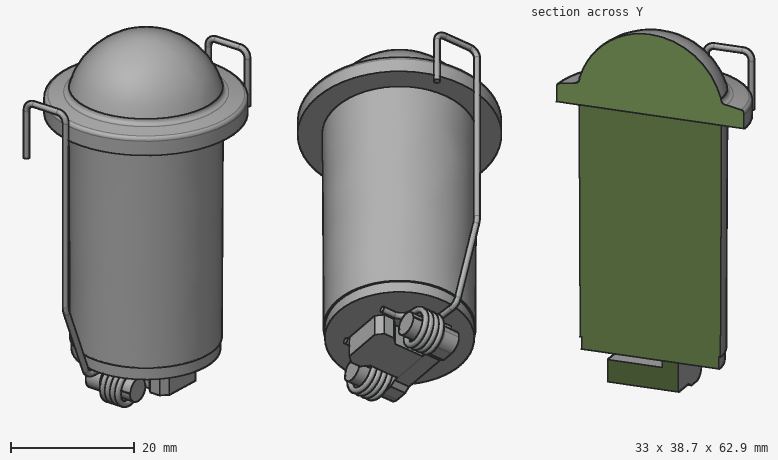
import cadquery as cq
import math


flange_radius = 16.5
flange_bottom = 42.0
flange_edge_height = 2.6
flange_round = 0.7
flange_slope = 10
dome_foot_radius = 13.35
dome_start_radius = 12.5
dome_start_height = 46.7
dome_top = 56.0
foot_sag = 0.22

barrel_top_radius = 12.55
barrel_bottom_radius = 12.35
ring_radius = 12.1
ring_height = 2.15
slot_width = 0.75
slot_depth = 0.6
slot_bottom = 0.55
slot_y = 4.85

wire_diameter = 1.0
coil_mean_radius = 2.95
coil_gap = 0.02
coil_turns = 4
coil_y = 7.45
coil_z = -3.5
arm_x = -1.8
arm_y = 18.85
arm_knee_y = 13.1
arm_shoulder_z = 13.15
knee_bend_radius = 1.75
shoulder_bend_radius = 3.15
hook_width = 8.0
hook_top = 48.1
hook_end = 38.1
hook_bend_radius = 1.5
tail_bend_radius = 2.25
tail_reach = 2.4
tail_end_x = 7.1

pin_radius = 2.1
pin_relief = 0.1
pin_end_x = 4.1
web_start_x = -5.0
web_end_x = -2.1
web_floor = -5.0
web_floor_half_width = 4.2
pin_flat_half_width = 5.3
lug_top = -1.1
neck_half_width = 3.45
lug_half_width = 4.6
lug_flat_start_x = 4.5
lug_flat_end_x = 6.35
lug_end_x = 7.5

wire_radius = wire_diameter / 2
coil_top = coil_z + coil_mean_radius
coil_pitch = wire_diameter + coil_gap
coil_length = coil_pitch * coil_turns
coil_slope = coil_pitch / (2 * math.pi * coil_mean_radius)
coil_start_x = arm_x + coil_slope * (arm_knee_y - coil_y)


def make_lens():
    edge_top = flange_bottom + flange_edge_height
    slope = math.radians(flange_slope)
    round_center_radius = flange_radius - flange_round
    slope_start_radius = round_center_radius + flange_round * math.sin(slope)
    slope_start_height = edge_top + flange_round * math.cos(slope)
    round_middle = (
        round_center_radius + flange_round * math.sqrt(0.5),
        edge_top + flange_round * math.sqrt(0.5),
    )
    foot_height = slope_start_height + (slope_start_radius - dome_foot_radius) * math.tan(slope)

    cap_height = dome_top - dome_start_height
    sphere_radius = (cap_height**2 + dome_start_radius**2) / (2 * cap_height)
    sphere_center = dome_top - sphere_radius
    half_angle = math.asin(dome_start_radius / sphere_radius) / 2
    dome_middle = (sphere_radius * math.sin(half_angle), sphere_center + sphere_radius * math.cos(half_angle))
    foot_middle = (
        (dome_foot_radius + dome_start_radius) / 2 - foot_sag,
        (foot_height + dome_start_height) / 2 - foot_sag,
    )
    profile = (
        cq.Workplane("XZ")
        .moveTo(0, flange_bottom)
        .lineTo(flange_radius, flange_bottom)
        .lineTo(flange_radius, edge_top)
        .threePointArc(round_middle, (slope_start_radius, slope_start_height))
        .lineTo(dome_foot_radius, foot_height)
        .threePointArc(foot_middle, (dome_start_radius, dome_start_height))
        .threePointArc(dome_middle, (0, dome_top))
        .close()
    )
    return profile.revolve(360, (0, 0, 0), (0, 1, 0))


def make_barrel():
    barrel = (
        cq.Workplane("XZ")
        .polyline([
            (0, 0),
            (ring_radius, 0),
            (ring_radius, ring_height),
            (barrel_bottom_radius, ring_height),
            (barrel_top_radius, flange_bottom),
            (0, flange_bottom),
        ])
        .close()
        .revolve(360, (0, 0, 0), (0, 1, 0))
    )
    slot_angle = 180 - math.degrees(math.asin(slot_y / ring_radius))
    slot = (
        cq.Workplane("XY", origin=(0, 0, slot_bottom))
        .center(ring_radius, 0)
        .rect(2 * slot_depth, slot_width)
        .extrude(ring_height - slot_bottom)
        .rotate((0, 0, 0), (0, 0, 1), slot_angle)
    )
    return barrel.cut(slot)


def rounded_path(stops):
    """Edges through (point, bend radius) stops, with an arc at each inner stop."""
    points = [cq.Vector(*point) for point, _ in stops]
    edges = []
    start = points[0]
    for i in range(1, len(points) - 1):
        corner = points[i]
        incoming = (corner - points[i - 1]).normalized()
        outgoing = (points[i + 1] - corner).normalized()
        turn = incoming.getAngle(outgoing)
        radius = stops[i][1]
        setback = radius * math.tan(turn / 2)
        arc_start = corner - incoming * setback
        arc_end = corner + outgoing * setback
        inward = (outgoing - incoming).normalized()
        arc_middle = corner + inward * (radius / math.cos(turn / 2) - radius)
        edges.append(cq.Edge.makeLine(start, arc_start))
        edges.append(cq.Edge.makeThreePointArc(arc_start, arc_middle, arc_end))
        start = arc_end
    edges.append(cq.Edge.makeLine(start, points[-1]))
    return edges


def make_spring(side, hook_direction):
    """Torsion spring on the -Y (side = -1) or +Y (side = 1) pin, with its hook along X."""
    hook_x = arm_x + hook_direction * hook_width
    coil_end_x = coil_start_x + coil_length
    tail_y = -coil_y + tail_reach
    tail_corner_x = coil_end_x + coil_slope * tail_reach

    arm = rounded_path([
        ((hook_x, -arm_y, hook_end), 0),
        ((hook_x, -arm_y, hook_top), hook_bend_radius),
        ((arm_x, -arm_y, hook_top), hook_bend_radius),
        ((arm_x, -arm_y, arm_shoulder_z), shoulder_bend_radius),
        ((arm_x, -arm_knee_y, coil_top), knee_bend_radius),
        ((coil_start_x, -coil_y, coil_top), 0),
    ])
    coil = (
        cq.Wire.makeHelix(coil_pitch, coil_length, coil_mean_radius, lefthand=True)
        .rotate(cq.Vector(0, 0, 0), cq.Vector(0, 1, 0), 90)
        .rotate(cq.Vector(0, 0, 0), cq.Vector(1, 0, 0), 180)
        .translate(cq.Vector(coil_start_x, -coil_y, coil_z))
    )
    tail = rounded_path([
        ((coil_end_x, -coil_y, coil_top), 0),
        ((tail_corner_x, tail_y, coil_top), tail_bend_radius),
        ((tail_end_x, tail_y, coil_top), 0),
    ])
    path = cq.Wire.assembleEdges(arm + coil.Edges() + tail)
    spring = (
        cq.Workplane("XY", origin=(hook_x, -arm_y, hook_end))
        .circle(wire_radius)
        .sweep(cq.Workplane(path))
    )
    return spring.mirror("XZ") if side > 0 else spring


def make_bracket():
    pin_bottom = coil_z - pin_radius
    pin_top = coil_z + pin_radius
    pin_tip = coil_y + pin_radius
    web = (
        cq.Workplane("YZ", origin=(web_start_x, 0, 0))
        .moveTo(-coil_y, 0)
        .lineTo(coil_y, 0)
        .lineTo(coil_y, pin_top)
        .threePointArc((pin_tip, coil_z), (coil_y, pin_bottom))
        .lineTo(pin_flat_half_width, pin_bottom)
        .lineTo(web_floor_half_width, web_floor)
        .lineTo(-web_floor_half_width, web_floor)
        .lineTo(-pin_flat_half_width, pin_bottom)
        .lineTo(-coil_y, pin_bottom)
        .threePointArc((-pin_tip, coil_z), (-coil_y, pin_top))
        .close()
        .extrude(web_end_x - web_start_x)
    )

    pin_centers = [(-coil_y, coil_z), (coil_y, coil_z)]
    pins = (
        cq.Workplane("YZ", origin=(web_start_x, 0, 0))
        .pushPoints(pin_centers)
        .circle(pin_radius)
        .extrude(pin_end_x - web_start_x)
    )
    relief = (
        cq.Workplane("YZ", origin=(web_end_x, 0, 0))
        .pushPoints(pin_centers)
        .circle(pin_radius)
        .circle(pin_radius - pin_relief)
        .extrude(pin_end_x - web_end_x)
    )
    upper_half = cq.Workplane("XY", origin=(0, 0, coil_z)).rect(4 * coil_y, 4 * coil_y).extrude(pin_radius)
    pins = pins.cut(relief.intersect(upper_half))

    chamfer = lug_half_width - neck_half_width
    half_outline = [
        (web_end_x, neck_half_width),
        (lug_flat_start_x - chamfer, neck_half_width),
        (lug_flat_start_x, lug_half_width),
        (lug_flat_end_x, lug_half_width),
        (lug_end_x, neck_half_width),
    ]
    mirrored_half = [(x, -y) for x, y in reversed(half_outline)]
    lug = (
        cq.Workplane("XY", origin=(0, 0, web_floor))
        .polyline(half_outline + mirrored_half)
        .close()
        .extrude(lug_top - web_floor)
    )
    return web.union(pins).union(lug)


lens = make_lens()
barrel = make_barrel()
bracket = make_bracket()
springs = [make_spring(side, hook_direction=side) for side in (-1, 1)]

result = cq.Compound.makeCompound(
    [lens.val(), barrel.val(), bracket.val(), *[spring.val() for spring in springs]]
)